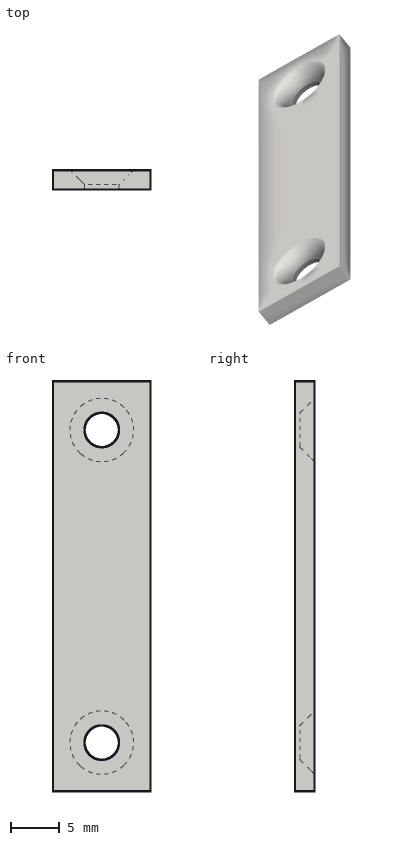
import cadquery as cq

width = 10.0
thickness = 2.0
height = 42.0

hole_diameter = 3.5
hole_end_distance = 5.0
hole_spacing = height - 2 * hole_end_distance
countersink_diameter = 6.5
countersink_angle = 90.0


def make_plate():
    """Flat strap standing upright, centred on the origin."""
    return cq.Workplane("XY").box(width, thickness, height)


def drill_mounting_holes(plate):
    """Drill both holes on the centreline, countersunk on the +Y face."""
    return (
        plate.faces(">Y")
        .workplane(centerOption="CenterOfBoundBox")
        .rarray(1, hole_spacing, 1, 2)
        .cskHole(hole_diameter, countersink_diameter, countersink_angle)
    )


result = drill_mounting_holes(make_plate())